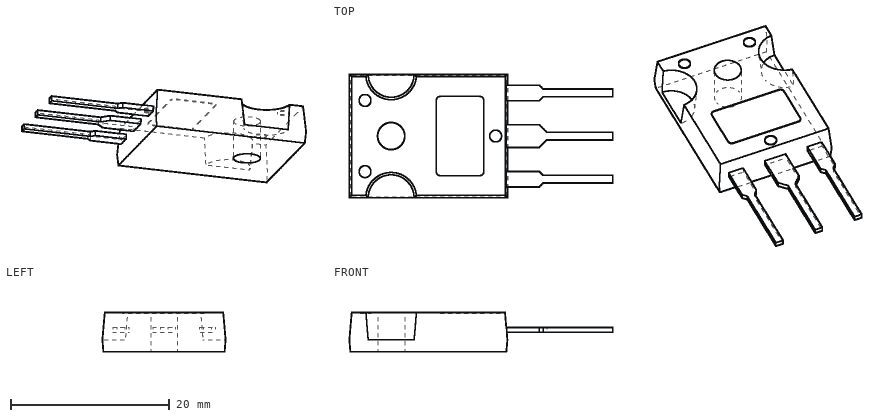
import cadquery as cq
import math

body_length = 20.0
body_width = 15.6
body_height = 5.0
parting_height = 1.5
draft_angle = 5.0
upper_height = body_height - parting_height

hole_x = 5.3
hole_diameter = 3.4
notch_floor_radius = 2.9
notch_top_radius = notch_floor_radius + upper_height * math.tan(math.radians(draft_angle))

panel_depth = 0.1
ejector_mark_depth = 0.1
ejector_mark_diameter = 1.5
ejector_mark_centers = [(2.0, -4.5), (2.0, 4.5), (18.5, 0.0)]
panel_length = 6.0
panel_width = 10.0
panel_center_x = 14.0
panel_corner_radius = 0.5

lead_pitch = 5.45
lead_bottom = 2.45
lead_thickness = 0.65
lead_tip_x = 33.3
lead_shoulder_x = 24.0
lead_root_x = body_length - 1.0
lead_width = 1.0
outer_shoulder_width = 2.0
center_shoulder_width = 2.9


def make_drafted_block(height, direction):
    """Block rising (+1) or descending (-1) from the parting line, narrowing as it goes."""
    parting_plane = cq.Plane(
        origin=(body_length / 2, 0, parting_height),
        xDir=(1, 0, 0),
        normal=(0, 0, direction),
    )
    return cq.Workplane(parting_plane).rect(body_length, body_width).extrude(height, taper=draft_angle)


def make_body():
    """Two drafted blocks meeting at the parting line."""
    return make_drafted_block(upper_height, 1).union(make_drafted_block(parting_height, -1))


def make_notch(side):
    """Conical cutter centred on the long edge of the body, wider at the top."""
    return cq.Workplane(
        cq.Solid.makeCone(
            notch_floor_radius,
            notch_top_radius,
            upper_height,
            pnt=cq.Vector(hole_x, side * body_width / 2, parting_height),
        )
    )


def make_top_recesses():
    """Cutter for the rounded marking panel and the ejector pin marks."""
    panel = (
        cq.Workplane("XY", origin=(panel_center_x, 0, body_height - panel_depth))
        .rect(panel_length, panel_width)
        .extrude(panel_depth)
        .edges("|Z")
        .fillet(panel_corner_radius)
    )
    marks = (
        cq.Workplane("XY", origin=(0, 0, body_height - ejector_mark_depth))
        .pushPoints(ejector_mark_centers)
        .circle(ejector_mark_diameter / 2)
        .extrude(ejector_mark_depth)
    )
    return panel.union(marks)


def make_lead(center_y, shoulder_width):
    """Flat lead with a wide shoulder narrowing at 45 degrees to the pin."""
    half_shoulder = shoulder_width / 2
    half_pin = lead_width / 2
    neck_x = lead_shoulder_x + half_shoulder - half_pin
    return (
        cq.Workplane("XY", origin=(0, center_y, lead_bottom))
        .moveTo(lead_root_x, -half_shoulder)
        .lineTo(lead_shoulder_x, -half_shoulder)
        .lineTo(neck_x, -half_pin)
        .lineTo(lead_tip_x, -half_pin)
        .lineTo(lead_tip_x, half_pin)
        .lineTo(neck_x, half_pin)
        .lineTo(lead_shoulder_x, half_shoulder)
        .lineTo(lead_root_x, half_shoulder)
        .close()
        .extrude(lead_thickness)
    )


def make_mounting_hole():
    """Cutter for the plain hole through the full body height."""
    return (
        cq.Workplane("XY", origin=(hole_x, 0, 0))
        .circle(hole_diameter / 2)
        .extrude(body_height)
    )


result = make_body().cut(make_mounting_hole()).cut(make_top_recesses())
for side in (-1, 1):
    result = result.cut(make_notch(side))
    result = result.union(make_lead(side * lead_pitch, outer_shoulder_width))
result = result.union(make_lead(0, center_shoulder_width))